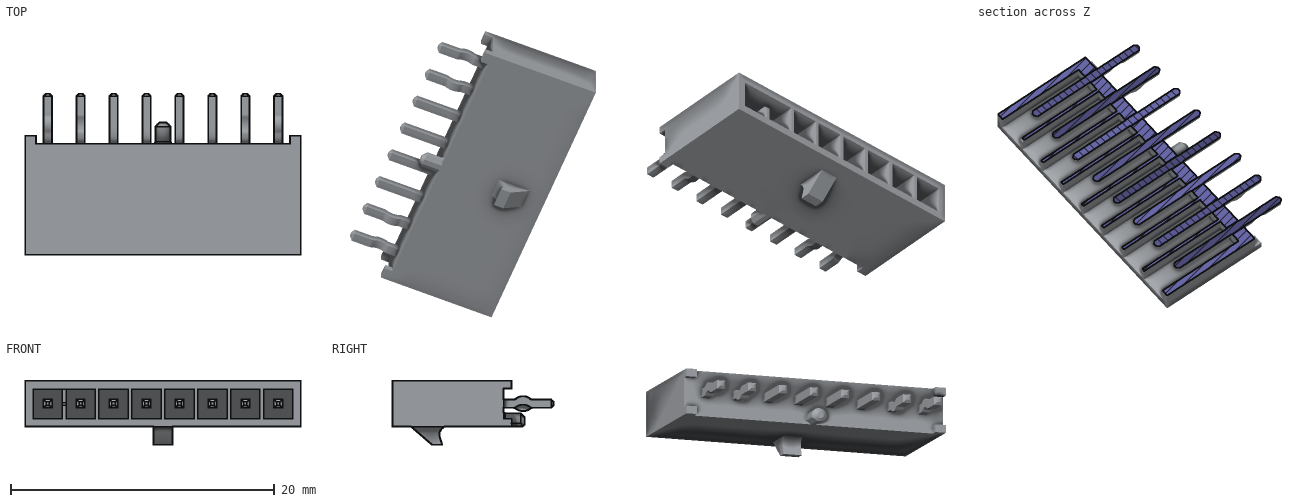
import cadquery as cq
import math


LENGTH = 20.95
HEIGHT = 3.5
BODY_DEPTH = 8.45
TAB_REACH = 0.6
TAB_WIDTH = 0.84
TAB_HEIGHT = 0.6

PIN_COUNT = 8
CAVITY_SIZE = 2.22
CAVITY_DEPTH = 7.33
SIDE_WALL = 0.6
FLOOR = 0.6
PITCH = (LENGTH - 2 * SIDE_WALL - CAVITY_SIZE) / (PIN_COUNT - 1)
PIN_X = [(i - (PIN_COUNT - 1) / 2) * PITCH for i in range(PIN_COUNT)]
PARTITION = PITCH - CAVITY_SIZE

NOTCH_BOTTOM = 1.82
NOTCH_DEPTH = 2.1
NOTCH_CHAMFER = 0.2

PEG_RADIUS = 0.59
PEG_TOP = 1.03
PEG_AXIS_Z = PEG_TOP - PEG_RADIUS
PEG_END_Y = 10.07
PEG_CHAMFER = 0.34
PEG_FLARE = 0.06
PEG_FLARE_LENGTH = 0.13
PEG_BEVEL_HEIGHT = 0.27
PEG_BEVEL_RUN = 0.35

LATCH_WIDTH = 1.47
LATCH_DROP = 1.38
LATCH_FRONT_Y = 1.42
LATCH_TIP_FRONT_Y = 3.02
LATCH_TIP_REAR_Y = 3.8
LATCH_ROOT_REAR_Y = 3.98
LATCH_ARC_MIDDLE = (3.58, -0.55)
LATCH_ARC_END = (3.6, -0.77)

PIN_SIZE = 0.65
PIN_Z = HEIGHT / 2
PIN_FRONT_Y = 2.1
PIN_END_Y = 12.25
PIN_TIP_CHAMFER = 0.199

KINK_Y = 9.93
KINK_HALF_LENGTH = 0.73
KINK_RISE = 0.25
KINK_CREST_RADIUS = 0.85
KINK_DIRECTION = {0: 1, 1: -1, PIN_COUNT - 2: -1, PIN_COUNT - 1: 1}


def block(x_range, y_range, z_range):
    """Box given by its limits along each axis."""
    (x0, x1), (y0, y1), (z0, z1) = x_range, y_range, z_range
    return cq.Workplane("XY").box(x1 - x0, y1 - y0, z1 - z0, centered=False).translate((x0, y0, z0))


def make_rear_tabs():
    """Four corner tabs that stand off the rear face."""
    tabs = cq.Workplane("XY")
    y_range = (BODY_DEPTH, BODY_DEPTH + TAB_REACH)
    for x in (-LENGTH / 2, LENGTH / 2 - TAB_WIDTH):
        for z in (0, HEIGHT - TAB_HEIGHT):
            tabs = tabs.add(block((x, x + TAB_WIDTH), y_range, (z, z + TAB_HEIGHT)))
    return tabs.combine()


def make_partition_notch():
    """Cutter that lowers the front of the first partition and chamfers its leading edge."""
    cavity_top = FLOOR + CAVITY_SIZE
    x_middle = (PIN_X[0] + PIN_X[1]) / 2
    return (
        cq.Workplane("YZ", origin=(x_middle, 0, 0))
        .polyline([
            (0, cavity_top),
            (0, NOTCH_BOTTOM - NOTCH_CHAMFER),
            (NOTCH_CHAMFER, NOTCH_BOTTOM),
            (NOTCH_DEPTH, NOTCH_BOTTOM),
            (NOTCH_DEPTH, cavity_top),
        ])
        .close()
        .extrude(PARTITION / 2, both=True)
    )


def make_peg():
    """Round peg with a flared root and a chamfered end, trimmed flush with the underside."""
    root_radius = PEG_RADIUS + PEG_FLARE
    turned = (
        cq.Workplane("XY")
        .polyline([
            (0, BODY_DEPTH),
            (root_radius, BODY_DEPTH),
            (PEG_RADIUS, BODY_DEPTH + PEG_FLARE_LENGTH),
            (PEG_RADIUS, PEG_END_Y - PEG_CHAMFER),
            (PEG_RADIUS - PEG_CHAMFER, PEG_END_Y),
            (0, PEG_END_Y),
        ])
        .close()
        .revolve(360, (0, 0, 0), (0, 1, 0))
        .translate((0, 0, PEG_AXIS_Z))
    )
    flank = math.sqrt(PEG_RADIUS**2 - (PEG_AXIS_Z - PEG_BEVEL_HEIGHT) ** 2)
    foot = flank - PEG_BEVEL_RUN
    shoulder_z = (root_radius - foot) * PEG_BEVEL_HEIGHT / PEG_BEVEL_RUN
    trim = (
        cq.Workplane("XZ")
        .polyline([
            (-foot, 0),
            (foot, 0),
            (root_radius, shoulder_z),
            (root_radius, HEIGHT),
            (-root_radius, HEIGHT),
            (-root_radius, shoulder_z),
        ])
        .close()
        .extrude(-PEG_END_Y)
    )
    return turned.intersect(trim)


def make_latch():
    """Hook with a sloping lead-in and a hollowed rear side."""
    return (
        cq.Workplane("YZ")
        .moveTo(LATCH_FRONT_Y, 0)
        .lineTo(LATCH_TIP_FRONT_Y, -LATCH_DROP)
        .lineTo(LATCH_TIP_REAR_Y, -LATCH_DROP)
        .lineTo(*LATCH_ARC_END)
        .threePointArc(LATCH_ARC_MIDDLE, (LATCH_ROOT_REAR_Y, 0))
        .close()
        .extrude(LATCH_WIDTH / 2, both=True)
    )


def square_prisms(size, z_middle, depth):
    """One square prism on each pin position, from the mating face to the given depth."""
    return (
        cq.Workplane("XZ")
        .pushPoints([(x, z_middle) for x in PIN_X])
        .rect(size, size)
        .extrude(-depth)
    )


def make_housing():
    body = block((-LENGTH / 2, LENGTH / 2), (0, BODY_DEPTH), (0, HEIGHT))
    body = body.union(make_rear_tabs()).union(make_peg()).union(make_latch())
    body = body.cut(square_prisms(CAVITY_SIZE, FLOOR + CAVITY_SIZE / 2, CAVITY_DEPTH))
    body = body.cut(square_prisms(PIN_SIZE, PIN_Z, BODY_DEPTH))
    return body.cut(make_partition_notch())


def add_kink(outline, z, kink, travel):
    """Extend an outline along Y through a kink in the edge at height z.

    A crest arc joins the straight edge through a tangent arc at each end. kink is +1 to bend up
    or -1 to bend down; travel is +1 to run towards +Y or -1 to run towards -Y.
    """
    bend = 2 * math.atan(KINK_RISE / KINK_HALF_LENGTH)
    end_radius = KINK_HALF_LENGTH / math.sin(bend) - KINK_CREST_RADIUS

    def end_arc_point(angle, side):
        from_crest = KINK_HALF_LENGTH - end_radius * math.sin(angle)
        rise = end_radius * (1 - math.cos(angle))
        return (KINK_Y + side * from_crest, z + kink * rise)

    return (
        outline.lineTo(*end_arc_point(0, -travel))
        .threePointArc(end_arc_point(bend / 2, -travel), end_arc_point(bend, -travel))
        .threePointArc((KINK_Y, z + kink * KINK_RISE), end_arc_point(bend, travel))
        .threePointArc(end_arc_point(bend / 2, travel), end_arc_point(0, travel))
    )


def make_pin(x, kink):
    """Square pin along Y; kink is +1 for a tail bent up, -1 for bent down, 0 for straight."""
    bottom = PIN_Z - PIN_SIZE / 2
    top = PIN_Z + PIN_SIZE / 2
    outline = cq.Workplane("YZ", origin=(x, 0, 0)).moveTo(PIN_FRONT_Y, bottom)
    if kink:
        outline = add_kink(outline, bottom, kink, 1)
    outline = outline.lineTo(PIN_END_Y, bottom).lineTo(PIN_END_Y, top)
    if kink:
        outline = add_kink(outline, top, kink, -1)
    pin = outline.lineTo(PIN_FRONT_Y, top).close().extrude(PIN_SIZE / 2, both=True)
    return pin.faces("<Y or >Y").chamfer(PIN_TIP_CHAMFER)


housing = make_housing()
pins = [make_pin(x, KINK_DIRECTION.get(i, 0)) for i, x in enumerate(PIN_X)]

result = cq.Compound.makeCompound([housing.val(), *[pin.val() for pin in pins]])